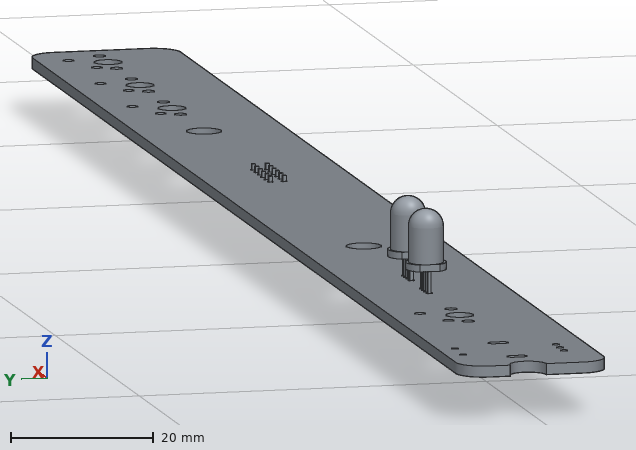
import cadquery as cq

BOARD_LENGTH = 260.0
BOARD_WIDTH = 21.3
BOARD_THICKNESS = 1.59
CORNER_RADIUS = 4.0
NOTCH_RADIUS = 2.5
AXIS_Y = 1.15

GRID_START_X = 82.5
GRID_STEPS = 11
GRID_LENGTH = 209.5
GRID_PITCH = GRID_LENGTH / GRID_STEPS

MOUNT_PLACES = (-6, -1)
MOUNT_DIAMETER = 5.0

KEY_PLACES = (-9, 0, 1, 2)
KEY_CENTRE_DIAMETER = 4.0
KEY_GUIDE_DIAMETER = 1.7
KEY_STEP = 1.27
KEY_GUIDE_OFFSET = 4 * KEY_STEP
KEY_CONTACT_DIAMETER = 1.5
KEY_CONTACT_OFFSETS = (
    (-3 * KEY_STEP, 2 * KEY_STEP),
    (2 * KEY_STEP, 4 * KEY_STEP),
)

ENCODER_SLOT_X = (-123.2, -112.0)
ENCODER_SLOT_LENGTH = 2.9
ENCODER_SLOT_WIDTH = 1.43
ENCODER_X = sum(ENCODER_SLOT_X) / 2
ENCODER_PIN_DIAMETER = 1.0
ENCODER_PIN_PITCH = 2.5
ENCODER_SIGNAL_DROP = 7.5
ENCODER_SWITCH_RISE = 7.0

LED_X = (-69.0, -58.2)
LED_DIAMETER = 5.0
LED_HEIGHT = 8.5
LED_STANDOFF = 3.0
LED_FLANGE_DIAMETER = 5.7
LED_FLANGE_HEIGHT = 1.0
LEAD_COUNT = 4
LEAD_PITCH = 1.27
LEAD_WIDTH = 0.5
LEAD_PROTRUSION = 0.8
LEAD_HOLE_DIAMETER = 0.9

HEADER_FIRST_PIN_X = 21.5
HEADER_Y = 0.7
HEADER_COLUMNS = 6
HEADER_ROWS = 2
HEADER_PITCH = 2.0
HEADER_HEIGHT = 1.87
HEADER_CHAMFER = 0.5
PIN_WIDTH = 0.5
PIN_LENGTH_BELOW = 4.2
PIN_PROTRUSION = 0.8
PIN_HOLE_DIAMETER = 0.8

lead_offsets = [(i - (LEAD_COUNT - 1) / 2) * LEAD_PITCH for i in range(LEAD_COUNT)]
header_column_x = [HEADER_FIRST_PIN_X + i * HEADER_PITCH for i in range(HEADER_COLUMNS)]
header_row_y = [HEADER_Y + (i - (HEADER_ROWS - 1) / 2) * HEADER_PITCH for i in range(HEADER_ROWS)]
header_pin_points = [(x, y) for x in header_column_x for y in header_row_y]


def grid_x(place):
    """X of a place on the key switch grid."""
    return GRID_START_X + place * GRID_PITCH


def drill(body, points, diameter):
    """Cut round through holes in the board."""
    holes = cq.Workplane("XY").pushPoints(points).circle(diameter / 2).extrude(BOARD_THICKNESS)
    return body.cut(holes)


def board_blank():
    """Board with rounded corners and a round notch in its -X end."""
    blank = (
        cq.Workplane("XY")
        .box(BOARD_LENGTH, BOARD_WIDTH, BOARD_THICKNESS, centered=(True, True, False))
        .edges("|Z")
        .fillet(CORNER_RADIUS)
    )
    return drill(blank, [(-BOARD_LENGTH / 2, AXIS_Y)], 2 * NOTCH_RADIUS)


def drill_key(body, x):
    """Cut the centre hole, two guide holes and two contact holes of one key switch."""
    body = drill(body, [(x, AXIS_Y)], KEY_CENTRE_DIAMETER)
    guides = [(x + side * KEY_GUIDE_OFFSET, AXIS_Y) for side in (-1, 1)]
    body = drill(body, guides, KEY_GUIDE_DIAMETER)
    contacts = [(x + dx, AXIS_Y + dy) for dx, dy in KEY_CONTACT_OFFSETS]
    return drill(body, contacts, KEY_CONTACT_DIAMETER)


def drill_encoder(body):
    """Cut the three signal holes, two switch holes and two slots of the rotary encoder."""
    signal_y = AXIS_Y - ENCODER_SIGNAL_DROP
    switch_y = AXIS_Y + ENCODER_SWITCH_RISE
    signals = [(ENCODER_X + i * ENCODER_PIN_PITCH, signal_y) for i in (-1, 0, 1)]
    switches = [(ENCODER_X + i * ENCODER_PIN_PITCH, switch_y) for i in (-1, 1)]
    body = drill(body, signals + switches, ENCODER_PIN_DIAMETER)
    slots = (
        cq.Workplane("XY")
        .pushPoints([(x, AXIS_Y) for x in ENCODER_SLOT_X])
        .slot2D(ENCODER_SLOT_LENGTH, ENCODER_SLOT_WIDTH, 90)
        .extrude(BOARD_THICKNESS)
    )
    return body.cut(slots)


def make_board():
    """Circuit board, its bottom face at Z = 0, with all its holes."""
    body = board_blank()
    body = drill(body, [(grid_x(place), AXIS_Y) for place in MOUNT_PLACES], MOUNT_DIAMETER)
    for place in KEY_PLACES:
        body = drill_key(body, grid_x(place))
    body = drill_encoder(body)
    lead_points = [(x + offset, AXIS_Y) for x in LED_X for offset in lead_offsets]
    body = drill(body, lead_points, LEAD_HOLE_DIAMETER)
    return drill(body, header_pin_points, PIN_HOLE_DIAMETER)


def make_led(x):
    """Domed LED standing clear of the board on a row of square leads."""
    radius = LED_DIAMETER / 2
    base_z = BOARD_THICKNESS + LED_STANDOFF
    lens = (
        cq.Workplane("XZ")
        .lineTo(radius, 0)
        .lineTo(radius, LED_HEIGHT - radius)
        .radiusArc((0, LED_HEIGHT), -radius)
        .close()
        .revolve(360, (0, 0, 0), (0, 1, 0))
    )
    flat_limit = (
        cq.Workplane("XY")
        .box(LED_DIAMETER * 2, LED_DIAMETER * 2, LED_FLANGE_HEIGHT, centered=(False, True, False))
        .translate((-radius, 0, 0))
    )
    flange = cq.Workplane("XY").circle(LED_FLANGE_DIAMETER / 2).extrude(LED_FLANGE_HEIGHT)
    flange = flange.intersect(flat_limit)
    leads = (
        cq.Workplane("XY")
        .pushPoints([(offset, 0) for offset in lead_offsets])
        .rect(LEAD_WIDTH, LEAD_WIDTH)
        .extrude(-(base_z + LEAD_PROTRUSION))
    )
    return lens.union(flange).union(leads).translate((x, AXIS_Y, base_z))


def make_header():
    """Pin header under the board: a chamfered block per column and a square pin per place."""
    block = (
        cq.Workplane("XY")
        .rect(HEADER_PITCH, HEADER_ROWS * HEADER_PITCH)
        .extrude(-HEADER_HEIGHT)
        .edges("|Z")
        .chamfer(HEADER_CHAMFER)
    )
    body = cq.Workplane("XY")
    for x in header_column_x:
        body = body.union(block.translate((x, HEADER_Y, 0)))
    pins = (
        cq.Workplane("XY", origin=(0, 0, -HEADER_HEIGHT - PIN_LENGTH_BELOW))
        .pushPoints(header_pin_points)
        .rect(PIN_WIDTH, PIN_WIDTH)
        .extrude(PIN_LENGTH_BELOW + HEADER_HEIGHT + BOARD_THICKNESS + PIN_PROTRUSION)
    )
    return body.union(pins)


board = make_board()
leds = [make_led(x) for x in LED_X]
header = make_header()
bodies = [board, *leds, header]

result = cq.Compound.makeCompound([body.solids().val() for body in bodies])